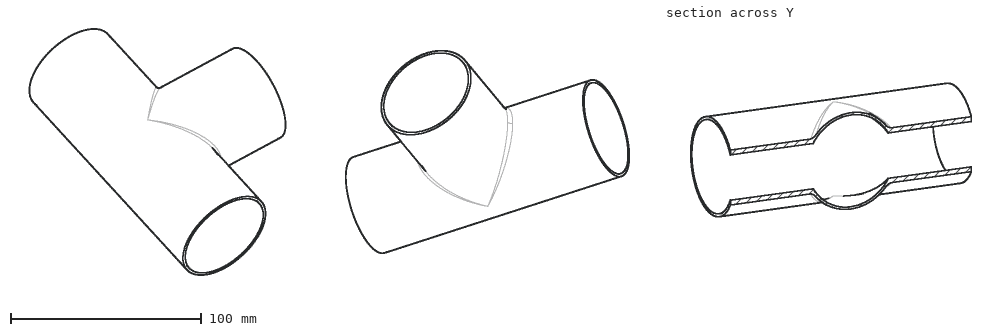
import cadquery as cq

run_length = 140.0
overall_depth = 96.5
outer_diameter = 53.0
bore_diameter = 50.0
junction_radius = 2.0

branch_reach = overall_depth - outer_diameter / 2


def tee_solid(diameter):
    """Solid run and branch cylinders of one diameter, with crossing axes."""
    run = cq.Workplane("YZ").circle(diameter / 2).extrude(run_length / 2, both=True)
    branch = cq.Workplane("XZ").circle(diameter / 2).extrude(-branch_reach)
    return run.union(branch)


body = tee_solid(outer_diameter).edges("%ELLIPSE").fillet(junction_radius)

result = body.cut(tee_solid(bore_diameter))